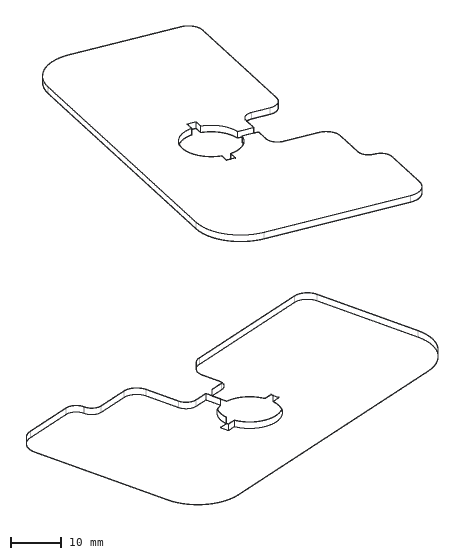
import cadquery as cq

length = 83.0
width = 47.0
thickness = 1.5
base_radius = 10.0

left_height = 38.0
step_height = 41.9
step_x = 64.4
left_corner_radius = 3.15
step_corner_radius = 3.15
step_inner_radius = 2.3
step_top_radius = 2.5
right_corner_radius = 4.3

notch_left = 37.9
notch_right = 51.4
notch_floor = 28.3
notch_floor_radius = 2.5

hole_x = 44.65
hole_y = 18.3
hole_radius = 6.5
key_span = 16.8
slit_width = 2.0

corners = [
    (0, 0, base_radius),
    (length, 0, base_radius),
    (length, width, right_corner_radius),
    (step_x, width, step_top_radius),
    (step_x, step_height, step_inner_radius),
    (notch_right, step_height, step_corner_radius),
    (notch_right, notch_floor, notch_floor_radius),
    (notch_left, notch_floor, notch_floor_radius),
    (notch_left, left_height, left_corner_radius),
    (0, left_height, left_corner_radius),
]


def rounded_plate():
    """Extrude the outline and round each of its vertical edges."""
    outline = [(x, y) for x, y, radius in corners]
    plate = cq.Workplane("XY").polyline(outline).close().extrude(thickness)
    for x, y, radius in corners:
        corner_edge = cq.selectors.NearestToPointSelector((x, y, thickness / 2))
        plate = plate.edges("|Z").edges(corner_edge).fillet(radius)
    return plate


def keyed_hole():
    """Round hole with a key slot on each side and a slit up to the notch."""
    center = cq.Workplane("XY").center(hole_x, hole_y)
    hole = center.circle(hole_radius).extrude(thickness)
    keys = center.rect(key_span, slit_width).extrude(thickness)
    slit_length = notch_floor - hole_y
    slit = center.center(0, slit_length / 2).rect(slit_width, slit_length).extrude(thickness)
    return hole.union(keys).union(slit)


result = rounded_plate().cut(keyed_hole())